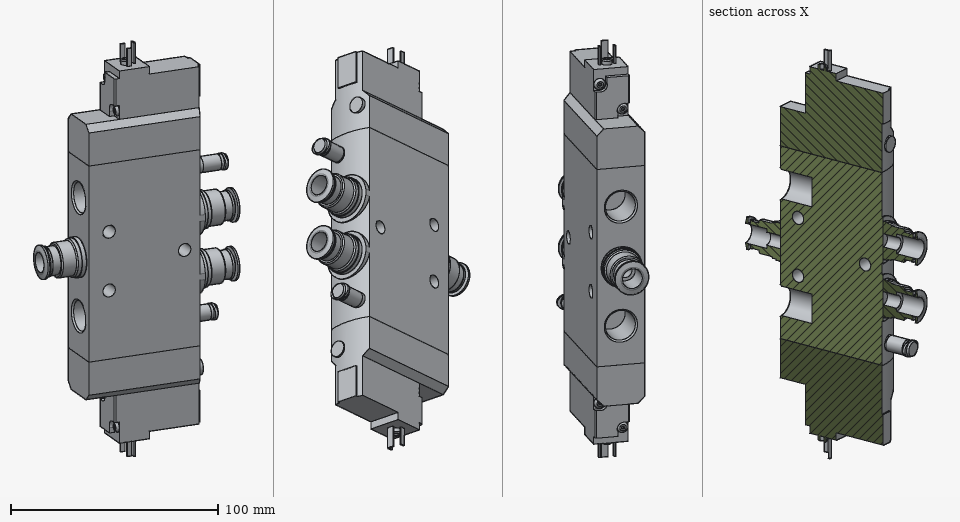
import cadquery as cq
import math


BODY_WIDTH = 24.0
BODY_DEPTH = 61.2
BODY_HALF_LENGTH = 50.0
BACK_CROWN = 2.1
BACK_RADIUS = ((BODY_WIDTH / 2) ** 2 + BACK_CROWN**2) / (2 * BACK_CROWN)
BOSS_RISE = 0.6
BACK_SEAT_Y = BODY_DEPTH + BOSS_RISE

OUTLET_Z = 15.0
OUTLET_BOSS_DIAMETER = 24.3
EXHAUST_Z = 30.2
PORT_DIAMETER = 15.0
PORT_MOUTH_DIAMETER = 16.7
PORT_DEPTH = 19.0

MOUNTING_DIAMETER = 6.5
MOUNTING_POINTS = [(50.9, 0), (10.8, OUTLET_Z), (10.8, -OUTLET_Z)]

PILOT_FITTING_X = 6.0
PILOT_FITTING_Z = 40.0
PILOT_TUBE_DIAMETER = 8.0
PILOT_RING_WIDTH = 11.0
PILOT_GROOVE_DIAMETER = 7.5
PILOT_GROOVE_START = 9.7
PILOT_RING_START = 11.2
PILOT_RING_END = 12.5
PILOT_FITTING_LENGTH = 13.5
PILOT_TIP_DIAMETER = 7.2

CAP_END_Z = 70.3
CAP_CHAMFER = 3.4
OVERRIDE_Z = 62.9
OVERRIDE_DIAMETER = 8.0

SOLENOID_WIDTH = BODY_WIDTH - 2 * CAP_CHAMFER
SOLENOID_END_Z = 91.2
SOLENOID_FRONT_Y = 15.2
SOLENOID_EDGE_CHAMFER = 0.6
LABEL_LENGTH = 16.0
LABEL_WIDTH = 11.4

PLUG_FRONT_Y = 17.7
PLUG_BACK_Y = 33.8
PLUG_END_Z = 95.0
CONTACT_THICKNESS = 0.8
EARTH_WIDTH = 3.4
EARTH_Y = 29.1
EARTH_END_Z = 105.5
COIL_CONTACT_X = 3.8
COIL_CONTACT_WIDTH = 2.3
COIL_CONTACT_Y = 25.1
COIL_CONTACT_END_Z = 104.0
HUB_DIAMETER = 5.0
HUB_LENGTH = 2.5
HUB_CHAMFER = 0.6
HUB_BORE_DIAMETER = 2.1

SCREW_X = 5.7
SCREW_HIGH_Z = 87.4
SCREW_LOW_Z = 74.0
SCREW_POCKET_DIAMETER = 6.3
SCREW_POCKET_REACH = 3.0
SCREW_BASE_DIAMETER = 5.7
SCREW_TOP_DIAMETER = 3.2
SCREW_RISE = 1.3
SCREW_SOCKET_DIAMETER = 1.5
SCREW_SOCKET_DEPTH = 1.0

BASE_DIAMETER = 19.5
BASE_TAPER = 0.5
FLANGE_DIAMETER = 20.0
FLANGE_END = 2.5
SHOULDER_DIAMETER = 19.0
SHOULDER_END = 4.5
BARREL_START = 5.0
BARREL_DIAMETER = 17.5
BARREL_END = 12.7
BARREL_CHAMFER = 0.6
NECK_DIAMETER = 14.3
NECK_END = 16.9
RIM_DIAMETER = 15.0
RIM_END = 18.0
GROOVE_DIAMETER = 11.4
COLLAR_DIAMETER = 16.9
COLLAR_START = 19.0
COLLAR_END = 20.0
COLLAR_FACE_DIAMETER = 11.4
FITTING_LENGTH = 20.7
TUBE_DIAMETER = 10.0
TUBE_DEPTH = 12.7
FLOW_DIAMETER = 6.5


def box(x_range, y_range, z_range):
    """Box between two limits on each axis."""
    (x0, x1), (y0, y1), (z0, z1) = x_range, y_range, z_range
    return cq.Workplane("XY").box(x1 - x0, y1 - y0, z1 - z0, centered=False).translate((x0, y0, z0))


def centred(width):
    """Limits of a width centred on zero."""
    return (-width / 2, width / 2)


def rod(diameter, x, z, y_start, y_end):
    """Round rod along Y."""
    start = cq.Vector(x, y_start, z)
    return cq.Workplane(cq.Solid.makeCylinder(diameter / 2, y_end - y_start, start, cq.Vector(0, 1, 0)))


def cone(start_diameter, end_diameter, x, z, y_start, y_end):
    """Truncated cone along Y."""
    start = cq.Vector(x, y_start, z)
    start_radius = start_diameter / 2
    end_radius = end_diameter / 2
    return cq.Workplane(
        cq.Solid.makeCone(start_radius, end_radius, y_end - y_start, start, cq.Vector(0, 1, 0))
    )


def half_turn(shape):
    """The same shape turned half a turn about the Y axis."""
    return shape.rotate((0, 0, 0), (0, 1, 0), 180)


def valve_section(width, front_y, z_start, z_end):
    """Block with the crowned back, cut to a width."""
    half = width / 2
    side_y = BODY_DEPTH - BACK_RADIUS + math.sqrt(BACK_RADIUS**2 - half**2)
    return (
        cq.Workplane("XY", origin=(0, 0, z_start))
        .moveTo(-half, front_y)
        .lineTo(half, front_y)
        .lineTo(half, side_y)
        .threePointArc((0, BODY_DEPTH), (-half, side_y))
        .close()
        .extrude(z_end - z_start)
    )


def back_boss(diameter, x, z):
    """Round boss on the back, trimmed to the body width."""
    boss = rod(diameter, x, z, BODY_DEPTH - BACK_CROWN, BACK_SEAT_Y)
    keep = box(centred(BODY_WIDTH), (0, BACK_SEAT_Y), (z - diameter, z + diameter))
    return boss.intersect(keep)


def make_valve_body():
    body = valve_section(BODY_WIDTH, 0, -BODY_HALF_LENGTH, BODY_HALF_LENGTH)
    for side in (1, -1):
        body = body.union(back_boss(OUTLET_BOSS_DIAMETER, 0, side * OUTLET_Z))
        body = body.union(back_boss(PILOT_TUBE_DIAMETER, side * PILOT_FITTING_X, side * PILOT_FITTING_Z))
    mouth_depth = (PORT_MOUTH_DIAMETER - PORT_DIAMETER) / 2
    for side in (1, -1):
        z = side * EXHAUST_Z
        body = body.cut(rod(PORT_DIAMETER, 0, z, 0, PORT_DEPTH))
        body = body.cut(cone(PORT_MOUTH_DIAMETER, PORT_DIAMETER, 0, z, 0, mouth_depth))
    holes = (
        cq.Workplane("YZ")
        .pushPoints(MOUNTING_POINTS)
        .circle(MOUNTING_DIAMETER / 2)
        .extrude(BODY_WIDTH / 2, both=True)
    )
    return body.cut(holes)


def make_cap():
    cap = valve_section(BODY_WIDTH, 0, BODY_HALF_LENGTH, CAP_END_Z)
    half = BODY_WIDTH / 2
    envelope = [
        (-half, BODY_HALF_LENGTH),
        (half, BODY_HALF_LENGTH),
        (half, CAP_END_Z - CAP_CHAMFER),
        (half - CAP_CHAMFER, CAP_END_Z),
        (CAP_CHAMFER - half, CAP_END_Z),
        (-half, CAP_END_Z - CAP_CHAMFER),
    ]
    cap = cap.intersect(cq.Workplane("XZ").polyline(envelope).close().extrude(-BODY_DEPTH))
    return cap.union(back_boss(OVERRIDE_DIAMETER, -PILOT_FITTING_X, OVERRIDE_Z))


def screw_pocket_cutter(side, z, z_edge):
    """Corner pocket, open to the side and to z_edge, rounded about the screw."""
    radius = SCREW_POCKET_DIAMETER / 2
    depth = (SOLENOID_FRONT_Y, PLUG_FRONT_Y)
    x = side * SCREW_X
    x_inner = x - side * SCREW_POCKET_REACH
    x_outer = side * SOLENOID_WIDTH / 2
    z_far = z + math.copysign(radius, z - z_edge)
    cutter = rod(SCREW_POCKET_DIAMETER, x, z, *depth)
    cutter = cutter.union(box(sorted((x_inner, x_outer)), depth, sorted((z, z_edge))))
    return cutter.union(box(sorted((x, x_outer)), depth, sorted((z_edge, z_far))))


def screw(x, z):
    """Screw head on the pocket floor."""
    floor = PLUG_FRONT_Y
    top = floor - SCREW_RISE
    head = cone(SCREW_TOP_DIAMETER, SCREW_BASE_DIAMETER, x, z, top, floor)
    return head.cut(rod(SCREW_SOCKET_DIAMETER, x, z, top, top + SCREW_SOCKET_DEPTH))


def make_solenoid():
    solenoid = valve_section(SOLENOID_WIDTH, SOLENOID_FRONT_Y, CAP_END_Z, SOLENOID_END_Z)
    solenoid = solenoid.faces("<Y").edges("|Z").chamfer(SOLENOID_EDGE_CHAMFER)
    solenoid = solenoid.union(
        box(centred(SOLENOID_WIDTH), (PLUG_FRONT_Y, PLUG_BACK_Y), (CAP_END_Z, PLUG_END_Z))
    )
    for side, z, z_edge in ((-1, SCREW_HIGH_Z, SOLENOID_END_Z), (1, SCREW_LOW_Z, CAP_END_Z)):
        solenoid = solenoid.cut(screw_pocket_cutter(side, z, z_edge))
        solenoid = solenoid.union(screw(side * SCREW_X, z))
    label_z = (SOLENOID_END_Z - LABEL_LENGTH, SOLENOID_END_Z)
    return solenoid.union(box(centred(LABEL_WIDTH), (BODY_DEPTH - BACK_CROWN, BACK_SEAT_Y), label_z))


def make_earth_blade():
    blade_y = (EARTH_Y - CONTACT_THICKNESS / 2, EARTH_Y + CONTACT_THICKNESS / 2)
    return box(centred(EARTH_WIDTH), blade_y, (PLUG_END_Z, EARTH_END_Z))


def make_coil_blade(side):
    blade = box(centred(CONTACT_THICKNESS), centred(COIL_CONTACT_WIDTH), (PLUG_END_Z, COIL_CONTACT_END_Z))
    return blade.translate((side * COIL_CONTACT_X, COIL_CONTACT_Y, 0))


def make_hub():
    """Hollow hub between the coil blades."""
    return (
        cq.Workplane("XY", origin=(0, COIL_CONTACT_Y, PLUG_END_Z))
        .circle(HUB_DIAMETER / 2)
        .extrude(HUB_LENGTH)
        .faces(">Z")
        .chamfer(HUB_CHAMFER)
        .faces(">Z")
        .workplane()
        .hole(HUB_BORE_DIAMETER, HUB_LENGTH)
    )


def make_end_unit():
    unit = make_cap().union(make_solenoid()).union(make_earth_blade()).union(make_hub())
    for side in (1, -1):
        unit = unit.union(make_coil_blade(side))
    return unit


def make_tube_fitting():
    profile = [
        (FLOW_DIAMETER / 2, 0),
        (BASE_DIAMETER / 2, 0),
        (FLANGE_DIAMETER / 2, BASE_TAPER),
        (FLANGE_DIAMETER / 2, FLANGE_END),
        (SHOULDER_DIAMETER / 2, FLANGE_END),
        (SHOULDER_DIAMETER / 2, SHOULDER_END),
        (BARREL_DIAMETER / 2, BARREL_START),
        (BARREL_DIAMETER / 2, BARREL_END - BARREL_CHAMFER),
        (BARREL_DIAMETER / 2 - BARREL_CHAMFER, BARREL_END),
        (NECK_DIAMETER / 2, BARREL_END),
        (NECK_DIAMETER / 2, NECK_END),
        (RIM_DIAMETER / 2, NECK_END),
        (RIM_DIAMETER / 2, RIM_END),
        (GROOVE_DIAMETER / 2, RIM_END),
        (GROOVE_DIAMETER / 2, COLLAR_START),
        (COLLAR_DIAMETER / 2, COLLAR_START),
        (COLLAR_DIAMETER / 2, COLLAR_END),
        (COLLAR_FACE_DIAMETER / 2, FITTING_LENGTH),
        (TUBE_DIAMETER / 2, FITTING_LENGTH),
        (TUBE_DIAMETER / 2, FITTING_LENGTH - TUBE_DEPTH),
        (FLOW_DIAMETER / 2, FITTING_LENGTH - TUBE_DEPTH),
    ]
    return cq.Workplane("XY").polyline(profile).close().revolve(360, (0, 0), (0, 1))


def make_pilot_fitting():
    fitting = rod(PILOT_TUBE_DIAMETER, 0, 0, 0, PILOT_GROOVE_START)
    groove = rod(PILOT_GROOVE_DIAMETER, 0, 0, PILOT_GROOVE_START, PILOT_RING_START)
    ring = (
        cq.Workplane("XZ", origin=(0, PILOT_RING_START, 0))
        .ellipse(PILOT_RING_WIDTH / 2, PILOT_TUBE_DIAMETER / 2)
        .extrude(PILOT_RING_START - PILOT_RING_END)
    )
    tip = cone(PILOT_TUBE_DIAMETER, PILOT_TIP_DIAMETER, 0, 0, PILOT_RING_END, PILOT_FITTING_LENGTH)
    return fitting.union(groove).union(ring).union(tip)


valve_body = make_valve_body()
upper_end_unit = make_end_unit()
end_units = [upper_end_unit, half_turn(upper_end_unit)]

tube_fitting = make_tube_fitting()
outlet_fittings = [tube_fitting.translate((0, BACK_SEAT_Y, side * OUTLET_Z)) for side in (1, -1)]
inlet_fitting = tube_fitting.rotate((0, 0, 0), (0, 0, 1), 180)

upper_pilot_fitting = make_pilot_fitting().translate((PILOT_FITTING_X, BACK_SEAT_Y, PILOT_FITTING_Z))
pilot_fittings = [upper_pilot_fitting, half_turn(upper_pilot_fitting)]

bodies = [valve_body, *end_units, inlet_fitting, *outlet_fittings, *pilot_fittings]
result = cq.Compound.makeCompound([body.val() for body in bodies])